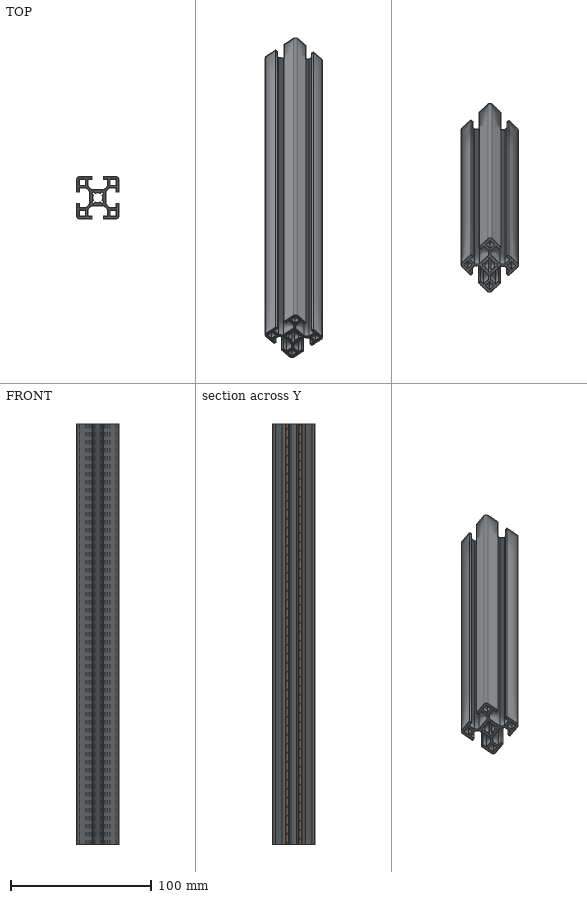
import cadquery as cq

width = 30.0
length = 300.0
half_width = width / 2

slot_opening = 8.0
lip_thickness = 1.9
slot_inner_width = 14.0
hub_width = 11.7
web_thickness = 1.65

box_void_size = 4.2
box_outer_wall = lip_thickness
corner_radius = 2.0

bore_diameter = 7.2
notch_span = 10.5
notch_width = 1.8

web_offset = web_thickness / 2 * 2**0.5


def slot_cutter():
    """T-slot on the +Y side, whose flanks run along the diagonal webs down to the hub."""
    half_opening = slot_opening / 2
    half_inner = slot_inner_width / 2
    half_hub = hub_width / 2
    half_floor = half_hub - web_offset
    lip_inside = half_width - lip_thickness
    right_side = [
        (half_floor, half_hub),
        (half_inner, half_inner + web_offset),
        (half_inner, lip_inside),
        (half_opening, lip_inside),
        (half_opening, half_width),
    ]
    left_side = [(-x, y) for x, y in reversed(right_side)]
    return cq.Workplane("XY").polyline(right_side + left_side).close().extrude(length)


def box_voids():
    """Square through holes in the four corner boxes."""
    spacing = width - 2 * box_outer_wall - box_void_size
    return (
        cq.Workplane("XY")
        .rarray(spacing, spacing, 2, 2)
        .rect(box_void_size, box_void_size)
        .extrude(length)
    )


def central_bore():
    """Round through bore crossed by two diagonal slots that form the corner notches."""
    bore = cq.Workplane("XY").circle(bore_diameter / 2).extrude(length)
    for angle in (45, 135):
        notches = cq.Workplane("XY").rect(notch_span, notch_width).extrude(length)
        bore = bore.union(notches.rotate((0, 0, 0), (0, 0, 1), angle))
    return bore


result = cq.Workplane("XY").rect(width, width).extrude(length).edges("|Z").fillet(corner_radius)

for angle in range(0, 360, 90):
    result = result.cut(slot_cutter().rotate((0, 0, 0), (0, 0, 1), angle))

result = result.cut(box_voids()).cut(central_bore())